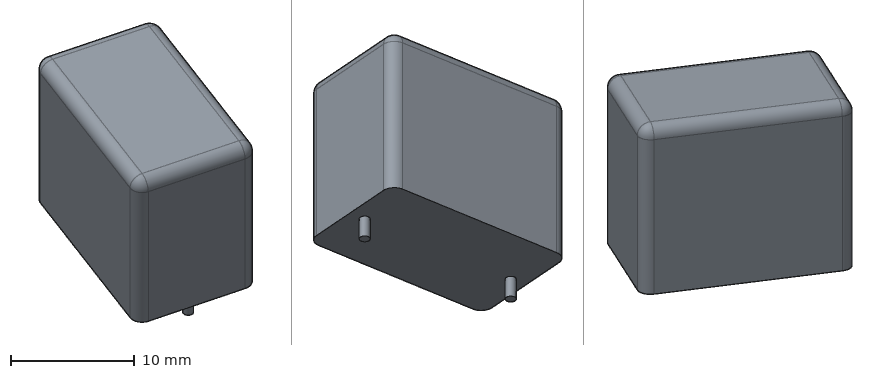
import cadquery as cq

body_length = 18.0
body_width = 11.0
total_height = 16.9
pin_length = 1.89
body_height = total_height - pin_length
edge_radius = 1.1

pin_diameter = 0.9
pin_spacing = 15.0


def make_body():
    """Box with rounded upright and top edges; the bottom edges stay sharp."""
    box = cq.Workplane("XY").box(body_length, body_width, body_height, centered=(True, True, False))
    return box.edges("|Z or >Z").fillet(edge_radius)


def make_pins():
    """Pair of pins hanging from the bottom face."""
    pin_centres = [(-pin_spacing / 2, 0), (pin_spacing / 2, 0)]
    return cq.Workplane("XY").pushPoints(pin_centres).circle(pin_diameter / 2).extrude(-pin_length)


result = make_body().union(make_pins())